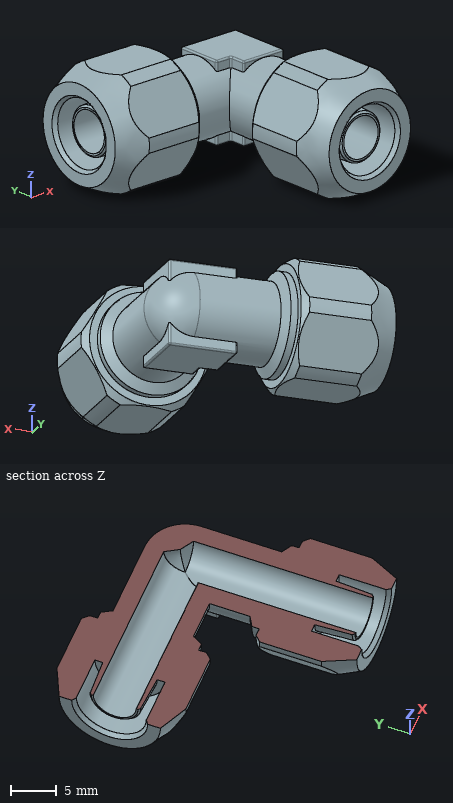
import cadquery as cq
import math

overall_length = 30.15

nut_across_flats = 14.0
nut_corner_diameter = 15.23
nut_corner_radius = nut_corner_diameter / 2
nut_length = 11.52
nut_front_radius = 5.97
front_cone_angle = 25.0
back_chamfer = 0.72
arm_length = overall_length - nut_corner_radius

entry_mouth_radius = 4.45
entry_radius = 4.1
entry_chamfer_length = 0.5
entry_depth = 6.03
stub_recess = 1.48
stub_root_radius = 3.23
stub_shoulder_radius = 2.98
stub_tip_radius = 2.75
bore_radius = 2.5
drill_point_angle = 118.0

body_radius = 4.75
collar_radius = 5.97
collar_length = 0.85
collar_slope_angle = 60.0

pad_half_width = 2.95
pad_reach = 5.07
pad_height = 5.0
pad_edge_radius = 0.2


def tan_deg(angle):
    return math.tan(math.radians(angle))


def turned(points):
    """Revolve (x, radius) points about the X axis."""
    return cq.Workplane("XY").polyline(points).close().revolve(360, (0, 0, 0), (1, 0, 0))


nut_front = -arm_length
nut_back = nut_front + nut_length


def make_nut():
    """Hexagonal nut with turned corners, a long front cone and a back chamfer."""
    hex_diameter = nut_across_flats / math.cos(math.pi / 6)
    hexagon = cq.Workplane("YZ", origin=(nut_front, 0, 0)).polygon(6, hex_diameter).extrude(nut_length)
    front_cone_length = (nut_corner_radius - nut_front_radius) / tan_deg(front_cone_angle)
    envelope = turned([
        (nut_front, 0),
        (nut_front, nut_front_radius),
        (nut_front + front_cone_length, nut_corner_radius),
        (nut_back - back_chamfer, nut_corner_radius),
        (nut_back, nut_corner_radius - back_chamfer),
        (nut_back, 0),
    ])
    return hexagon.intersect(envelope)


def make_body_arm():
    """Round arm with a collar that tapers down to the body radius."""
    collar_end = nut_back + collar_length
    slope_length = (collar_radius - body_radius) / tan_deg(collar_slope_angle)
    return turned([
        (nut_back, 0),
        (nut_back, collar_radius),
        (collar_end, collar_radius),
        (collar_end + slope_length, body_radius),
        (0, body_radius),
        (0, 0),
    ])


def make_tube_entry():
    """Space cut from the nut face, leaving a tapered stub inside."""
    stub_tip = nut_front + stub_recess
    tip_chamfer = stub_shoulder_radius - stub_tip_radius
    floor = nut_front + entry_depth
    return turned([
        (nut_front, 0),
        (nut_front, entry_mouth_radius),
        (nut_front + entry_chamfer_length, entry_radius),
        (floor, entry_radius),
        (floor, stub_root_radius),
        (stub_tip + tip_chamfer, stub_shoulder_radius),
        (stub_tip, stub_tip_radius),
        (stub_tip, 0),
    ])


def make_bore():
    """Drilled hole whose full diameter ends at the elbow centre, with a drill point."""
    point_length = bore_radius / tan_deg(drill_point_angle / 2)
    return turned([
        (nut_front, 0),
        (nut_front, bore_radius),
        (0, bore_radius),
        (point_length, 0),
    ])


def make_pads():
    """L-shaped block through the corner, giving a flat pad above and below."""
    width = pad_half_width
    block = (
        cq.Workplane("XY", origin=(0, 0, -pad_height))
        .polyline([
            (width, width),
            (-pad_reach, width),
            (-pad_reach, -width),
            (-width, -width),
            (-width, -pad_reach),
            (width, -pad_reach),
        ])
        .close()
        .extrude(2 * pad_height)
    )
    return block.edges().fillet(pad_edge_radius)


def both_arms(shape):
    """Join a shape on the -X arm with its copy on the -Y arm."""
    return shape.union(shape.rotate((0, 0, 0), (0, 0, 1), 90))


arm = make_nut().union(make_body_arm())
corner_ball = cq.Workplane("XY").sphere(body_radius)
hollow = both_arms(make_tube_entry().union(make_bore()))

result = both_arms(arm).union(corner_ball).union(make_pads()).cut(hollow)